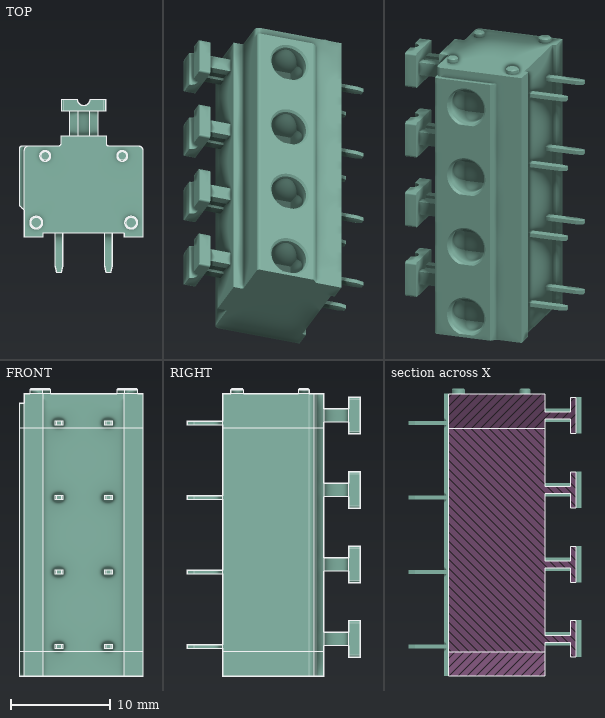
import cadquery as cq


cap_height = 2.5
pole_pitch = 7.5
pole_count = 4
middle_height = (pole_count - 1) * pole_pitch
end_height = 3.48
middle_base = cap_height
end_base = middle_base + middle_height
housing_height = end_base + end_height
pole_bases = [middle_base + index * pole_pitch for index in range(pole_count)]

housing_width = 12.0
centre_x = housing_width / 2
wall_top = 9.2
wall_round = 0.5
boss_width = 4.6
boss_top = 10.2
boss_root_round = 0.2
foot_width = 1.9
foot_height = 0.4

rail_depth = 0.5
rail_bottom = 2.7
rail_round = 0.3
rail_end_gap = 0.95

entry_offset = -0.25
entry_y = 5.77
entry_diameter = 3.7
entry_chamfer = 0.2
entry_flat = 1.9
entry_depth = 2.8
floor_width = 2.38
floor_rise = 0.55
floor_drop = 1.48
side_slope = 0.45
top_slope = 0.59
bottom_slope = 0.26

plunger_offset = 1.28
head_width = 4.5
head_height = 3.7
head_thickness = 1.2
head_top = 13.9
head_round = 0.23
notch_radius = 1.25 / 2
notch_lip_round = 0.1
stem_width = 2.9
stem_height = 1.35
stem_groove_width = 1.15
stem_groove_depth = 0.3

pin_offset = 0.5
pin_half_spacing = 2.5
pin_width = 0.8
pin_thickness = 0.4
pin_tip_width = 0.5
pin_tip_y = -3.6
pin_taper = 0.7

stud_height = 0.5
stud_chamfer = 0.12
small_stud_diameter = 1.1
small_stud_y = 8.18
small_stud_half_spacing = 3.9
large_stud_diameter = 1.3
large_stud_y = 1.45
large_stud_half_spacing = 4.78


def box(x_range, y_range, z_range):
    """Box between the given limits."""
    size = [high - low for low, high in (x_range, y_range, z_range)]
    corner = (x_range[0], y_range[0], z_range[0])
    return cq.Workplane("XY").box(*size, centered=False).translate(corner)


def housing_block(base, height):
    """Length of the housing section: rounded walls, central boss and two feet."""
    top_z = base + height
    boss_left = centre_x - boss_width / 2
    boss_right = centre_x + boss_width / 2
    walls = box((0, housing_width), (0, wall_top), (base, top_z))
    walls = walls.edges("|Z and >Y").fillet(wall_round)
    boss = box((boss_left, boss_right), (entry_y, boss_top), (base, top_z))
    block = walls.union(boss)
    boss_roots = cq.selectors.BoxSelector(
        (boss_left - boss_root_round, wall_top - boss_root_round, base),
        (boss_right + boss_root_round, wall_top + boss_root_round, top_z),
    )
    block = block.edges("|Z").edges(boss_roots).fillet(boss_root_round)
    recess = box((foot_width, housing_width - foot_width), (0, foot_height), (base, top_z))
    return block.cut(recess)


def rail(base, height):
    """Raised rail on the wire-side wall with a sloped lower edge and a rounded upper one."""
    profile = (
        cq.Workplane("XY", origin=(0, 0, base))
        .moveTo(0, rail_bottom)
        .lineTo(-rail_depth, rail_bottom + rail_depth)
        .lineTo(-rail_depth, wall_top - rail_round)
        .radiusArc((-rail_depth + rail_round, wall_top), rail_round)
        .lineTo(wall_round, wall_top)
        .lineTo(wall_round, rail_bottom)
        .close()
    )
    return profile.extrude(height)


def funnel_section(depth):
    """Limits of the rectangular funnel at a depth: half width, rise and drop."""
    to_floor = entry_depth - depth
    half_width = floor_width / 2 + side_slope * to_floor
    rise = floor_rise + top_slope * to_floor
    drop = floor_drop + bottom_slope * to_floor
    return half_width, rise, drop


def wire_entry(pole_base):
    """Cutter for a round entry that narrows through a funnel to a rectangular floor."""
    mouth = (-rail_depth, entry_y, pole_base + entry_offset)
    radius = entry_diameter / 2
    bore = cq.Workplane("YZ", origin=mouth).circle(radius).extrude(entry_depth)

    mouth_half, mouth_rise, mouth_drop = funnel_section(0)
    floor_half, floor_top, floor_bottom = funnel_section(entry_depth)
    funnel = (
        cq.Workplane("YZ", origin=mouth)
        .polyline([(-mouth_half, -mouth_drop), (mouth_half, -mouth_drop),
                   (mouth_half, mouth_rise), (-mouth_half, mouth_rise)])
        .close()
        .workplane(offset=entry_depth)
        .polyline([(-floor_half, -floor_bottom), (floor_half, -floor_bottom),
                   (floor_half, floor_top), (-floor_half, floor_top)])
        .close()
        .loft(ruled=True)
    )

    outer_radius = radius + entry_chamfer
    countersink = (
        cq.Workplane("YZ", origin=mouth)
        .circle(outer_radius)
        .workplane(offset=entry_chamfer)
        .circle(radius)
        .loft()
    )
    above_flat = box(
        (mouth[0], mouth[0] + entry_chamfer),
        (entry_y - outer_radius, entry_y + outer_radius),
        (mouth[2] - entry_flat, mouth[2] + outer_radius),
    )
    return bore.intersect(funnel).union(countersink.intersect(above_flat))


def plunger(pole_base):
    """Push button: notched head on a grooved stem that stands on the boss."""
    centre_z = pole_base + plunger_offset
    head_bottom = head_top - head_thickness
    half_head = head_width / 2
    head = box(
        (centre_x - half_head, centre_x + half_head),
        (head_bottom, head_top),
        (centre_z - head_height / 2, centre_z + head_height / 2),
    ).edges("|Y").fillet(head_round)
    notch = (
        cq.Workplane("XY", origin=(centre_x, head_top, centre_z))
        .circle(notch_radius)
        .extrude(head_height / 2, both=True)
    )
    notch_reach = notch_radius + notch_lip_round
    notch_lips = cq.selectors.BoxSelector(
        (centre_x - notch_reach, head_top - notch_lip_round, centre_z - head_height),
        (centre_x + notch_reach, head_top + notch_lip_round, centre_z + head_height),
    )
    head = head.cut(notch).edges("|Z").edges(notch_lips).fillet(notch_lip_round)
    stem = box(
        (centre_x - stem_width / 2, centre_x + stem_width / 2),
        (boss_top, head_bottom),
        (centre_z - stem_height / 2, centre_z + stem_height / 2),
    )
    for side in (-1, 1):
        face_z = centre_z + side * stem_height / 2
        groove = box(
            (centre_x - stem_groove_width / 2, centre_x + stem_groove_width / 2),
            (boss_top, head_bottom),
            (face_z - stem_groove_depth, face_z + stem_groove_depth),
        )
        stem = stem.cut(groove)
    return head.union(stem)


def contact_pin(x, pole_base):
    """Flat solder pin with a tapered tip, below the recess between the feet."""
    taper_y = pin_tip_y + pin_taper
    outline = [
        (x - pin_width / 2, foot_height),
        (x - pin_width / 2, taper_y),
        (x - pin_tip_width / 2, pin_tip_y),
        (x + pin_tip_width / 2, pin_tip_y),
        (x + pin_width / 2, taper_y),
        (x + pin_width / 2, foot_height),
    ]
    plane = cq.Workplane("XY", origin=(0, 0, pole_base + pin_offset))
    return plane.polyline(outline).close().extrude(pin_thickness / 2, both=True)


def studs(diameter, y, half_spacing):
    """Pair of chamfered locating studs on the end face."""
    return (
        cq.Workplane("XY", origin=(centre_x, y, housing_height))
        .pushPoints([(-half_spacing, 0), (half_spacing, 0)])
        .circle(diameter / 2)
        .extrude(stud_height)
        .faces(">Z")
        .chamfer(stud_chamfer)
    )


def module(base, height, rail_height):
    """Housing length with its rail, the wire entries that reach it and its own poles."""
    body = housing_block(base, height).union(rail(base, rail_height))
    for pole_base in pole_bases:
        entry_z = pole_base + entry_offset
        reach = entry_diameter / 2 + entry_chamfer
        if entry_z + reach > base and entry_z - reach < base + height:
            body = body.cut(wire_entry(pole_base))
        if base <= pole_base < base + height:
            body = body.union(plunger(pole_base))
            for side in (-1, 1):
                body = body.union(contact_pin(centre_x + side * pin_half_spacing, pole_base))
    return body


cap = module(0, cap_height, cap_height)
middle_module = module(middle_base, middle_height, middle_height)
end_module = (
    module(end_base, end_height, end_height - rail_end_gap)
    .union(studs(small_stud_diameter, small_stud_y, small_stud_half_spacing))
    .union(studs(large_stud_diameter, large_stud_y, large_stud_half_spacing))
)

result = cq.Compound.makeCompound([
    cap.solids().val(),
    middle_module.solids().val(),
    end_module.solids().val(),
])